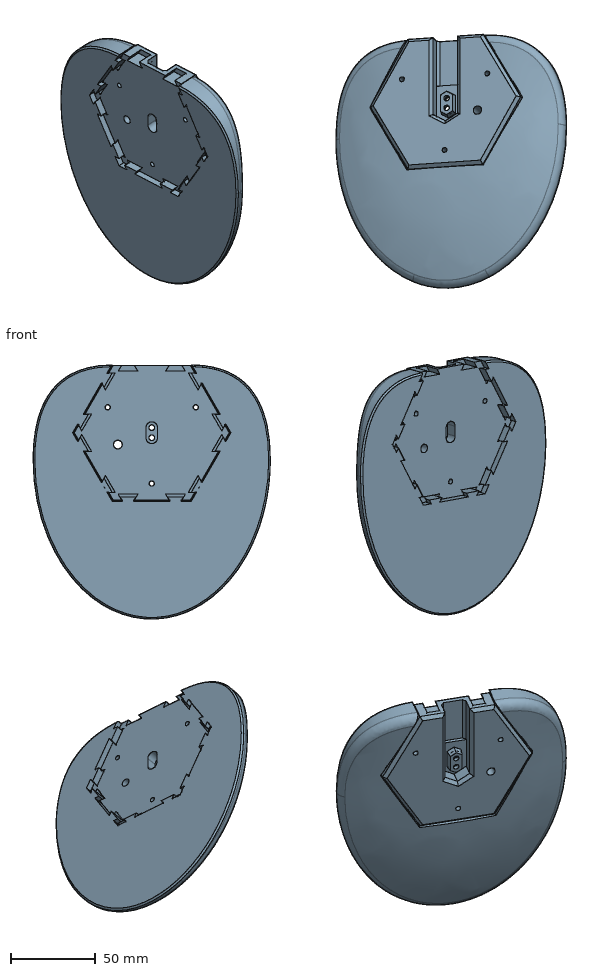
import cadquery as cq
import math


HALF_WIDTH = 70.0
OUTLINE_TOP = 40.0
OUTLINE_HEIGHT = 150.0
WIDEST_Z = -16.0
OUTLINE_BOTTOM = OUTLINE_TOP - OUTLINE_HEIGHT
TOP_FLAT_HALF = 23.0
SIDE_PULL = 31.7
TOP_PULL = 35.3

DOME_HEIGHT = 17.8
DOME_DROP = 11.5
DOME_BOTTOM_DROP = 1.8
DOME_POWER = 2.8
DOME_TOP_FADE = 0.35
DOME_MARGIN = 5.0
DOME_STEPS = 24
RIM_FILLET = 5.5
FRONT_CHAMFER = 1.0

MOUNT_APOTHEM = 39.7
MOUNT_FRONT = 3.4
MOUNT_BACK = 18.0
BACK_CHAMFER = 2.0
HALF_SIDE_ANGLE = math.radians(30)
HOLE_APOTHEM = 40.3

DOVETAIL_OFFSETS = (-14.0, 14.0)
FLANK_ANGLE = math.radians(30)
SOCKET_FLOOR = 36.3
SOCKET_FLOOR_WIDTH = 11.5
SOCKET_BACK = 13.3
TAB_TIP = 37.8
TAB_TIP_WIDTH = 9.5
TAB_BACK_GAP = 0.5
TAB_BACK = SOCKET_BACK - TAB_BACK_GAP
SIDE_ANGLES = [30, 90, 150, 210, 270, 330]
TOP_SIDE_ANGLE = 90

POINT_SLOPE = math.tan(math.radians(30))

CHANNEL_WIDTH = 15.0
CHANNEL_FLOOR = 8.4
GROOVE_FLOOR = 6.2
GROOVE_CHAMFER = 1.8
GROOVE_END_Z = 12.0

SCREW_SPACING = 6.0
SCREW_DIAMETER = 3.2
SLOT_WIDTH = 6.8
SLOT_DEPTH = 7.0
BOSS_BASE_WIDTH = 8.6
BOSS_TOP_WIDTH = 7.2
BOSS_TOP = 13.3
PILOT_DIAMETER = 2.88
PILOT_RADIUS = 30.0
PILOT_ANGLES = [30, 150, 270]
SIDE_HOLE_DIAMETER = 5.0
SIDE_HOLE_POSITION = (-20.0, -7.0)


def plane_at(y):
    """Sketch plane at depth y: local x is X, local y is Z. Negative extrusion goes to +Y."""
    return cq.Workplane("XZ", origin=(0, y, 0))


def hexagon(apothem):
    """Corners of a hexagon with flat top and bottom."""
    radius = apothem / math.cos(HALF_SIDE_ANGLE)
    corners = [2 * HALF_SIDE_ANGLE * i for i in range(6)]
    return [(radius * math.cos(a), radius * math.sin(a)) for a in corners]


def prism(points, y_front, y_back):
    return plane_at(y_front).polyline(points).close().extrude(y_front - y_back)


def dovetail(inner, outer, inner_width, y_front, y_back, side_angle, offset):
    """Dovetail on one hexagon side, wide at the inner distance and narrower at the outer one."""
    half_inner = inner_width / 2
    half_outer = half_inner - (outer - inner) * math.tan(FLANK_ANGLE)
    points = [
        (offset - half_inner, inner),
        (offset + half_inner, inner),
        (offset + half_outer, outer),
        (offset - half_outer, outer),
    ]
    body = prism(points, y_front, y_back)
    return body.rotate((0, 0, 0), (0, 1, 0), TOP_SIDE_ANGLE - side_angle)


def dome_height(x, z):
    """Height of the domed back: falls from the crown to the rim, and falls less towards the top."""
    below = max(WIDEST_Z - z, 0) / (WIDEST_Z - OUTLINE_BOTTOM)
    above = max(z - WIDEST_Z, 0) / (OUTLINE_TOP - WIDEST_Z)
    radius = math.hypot(x / HALF_WIDTH, below)
    side_drop = DOME_DROP * radius**DOME_POWER * (1 - DOME_TOP_FADE * above**2)
    return DOME_HEIGHT - side_drop - DOME_BOTTOM_DROP * below**DOME_POWER


def outline_body():
    """Egg outline: half an ellipse below the widest point, a Bezier curve on each side above it."""
    right_curve = [
        (HALF_WIDTH, WIDEST_Z),
        (HALF_WIDTH, WIDEST_Z + SIDE_PULL),
        (TOP_FLAT_HALF + TOP_PULL, OUTLINE_TOP),
        (TOP_FLAT_HALF, OUTLINE_TOP),
    ]
    left_curve = [(-x, z) for x, z in reversed(right_curve)]
    return (
        plane_at(0)
        .moveTo(-HALF_WIDTH, WIDEST_Z)
        .ellipseArc(HALF_WIDTH, WIDEST_Z - OUTLINE_BOTTOM, 180, 360)
        .bezier(right_curve)
        .lineTo(-TOP_FLAT_HALF, OUTLINE_TOP)
        .bezier(left_curve)
        .close()
        .extrude(-MOUNT_BACK)
    )


def space_behind_dome():
    """Everything behind the domed back surface, used to trim the cover."""
    x_start = -HALF_WIDTH - DOME_MARGIN
    z_start = OUTLINE_BOTTOM - DOME_MARGIN
    x_step = -2 * x_start / DOME_STEPS
    z_step = (OUTLINE_HEIGHT + 2 * DOME_MARGIN) / DOME_STEPS
    grid = []
    for i in range(DOME_STEPS + 1):
        x = x_start + i * x_step
        heights = [z_start + j * z_step for j in range(DOME_STEPS + 1)]
        grid.append([cq.Vector(x, dome_height(x, z), z) for z in heights])
    surface = cq.Face.makeSplineApprox(grid)
    return cq.Workplane(obj=cq.Solid.extrudeLinear(surface, cq.Vector(0, 2 * MOUNT_BACK, 0)))


def tab(side_angle, offset):
    return dovetail(TAB_TIP, HOLE_APOTHEM, TAB_TIP_WIDTH, 0, TAB_BACK, side_angle, offset)


def make_cover():
    body = outline_body().cut(space_behind_dome())
    body = body.faces("<Y").chamfer(FRONT_CHAMFER)
    dome = body.faces("%BSPLINE").sort(lambda face: -face.Center().y).first()
    body = dome.edges().fillet(RIM_FILLET)
    body = body.cut(prism(hexagon(HOLE_APOTHEM), 0, MOUNT_BACK))
    for side_angle in SIDE_ANGLES:
        if side_angle == TOP_SIDE_ANGLE:
            continue
        for offset in DOVETAIL_OFFSETS:
            body = body.union(tab(side_angle, offset))
    return body


def pointed_slot(half_width, top_z, bottom_z):
    """Outline with vertical sides from bottom_z to top_z and a 120 degree point beyond each end."""
    point_height = half_width * POINT_SLOPE
    return [
        (0, top_z + point_height),
        (-half_width, top_z),
        (-half_width, bottom_z),
        (0, bottom_z - point_height),
        (half_width, bottom_z),
        (half_width, top_z),
    ]


def boss_section(width, y):
    """Outline of the boss at depth y: parallel to the screw slot, with a point at each end."""
    half_width = width / 2
    corner_z = SCREW_SPACING / 2 + half_width * POINT_SLOPE
    return plane_at(y).polyline(pointed_slot(half_width, corner_z, -corner_z)).close().wires().val()


def make_boss():
    base = boss_section(BOSS_BASE_WIDTH, CHANNEL_FLOOR)
    top = boss_section(BOSS_TOP_WIDTH, BOSS_TOP)
    return cq.Workplane(obj=cq.Solid.makeLoft([base, top], True))


def channel():
    """Channel open at the top side of the mount, with a point at its lower end."""
    half_width = CHANNEL_WIDTH / 2
    corner_z = SCREW_SPACING / 2 + half_width * POINT_SLOPE
    return prism(pointed_slot(half_width, MOUNT_APOTHEM, -corner_z), CHANNEL_FLOOR, MOUNT_BACK)


def groove():
    """Deeper strip along the upper end of the channel, with bevelled lower edges."""
    length = MOUNT_APOTHEM - GROOVE_END_Z
    depth = CHANNEL_FLOOR - GROOVE_FLOOR
    bar = (
        cq.Workplane("XY")
        .box(CHANNEL_WIDTH, depth, length, centered=(True, False, False))
        .edges("|Z and <Y")
        .chamfer(GROOVE_CHAMFER)
    )
    return bar.translate((0, GROOVE_FLOOR, GROOVE_END_Z))


def socket(side_angle, offset):
    return dovetail(
        SOCKET_FLOOR, MOUNT_APOTHEM, SOCKET_FLOOR_WIDTH, MOUNT_FRONT, SOCKET_BACK, side_angle, offset
    )


def screw_slot():
    length = SCREW_SPACING + SLOT_WIDTH
    return plane_at(MOUNT_FRONT).slot2D(length, SLOT_WIDTH, 90).extrude(-SLOT_DEPTH)


def through_holes(points, diameter):
    return plane_at(0).pushPoints(points).circle(diameter / 2).extrude(-MOUNT_BACK)


def pilot_positions():
    angles = [math.radians(angle) for angle in PILOT_ANGLES]
    return [(PILOT_RADIUS * math.cos(a), PILOT_RADIUS * math.sin(a)) for a in angles]


def make_mount():
    body = prism(hexagon(MOUNT_APOTHEM), MOUNT_FRONT, MOUNT_BACK)
    body = body.cut(channel())
    body = body.faces(">Y").chamfer(BACK_CHAMFER)
    body = body.cut(groove()).union(make_boss())

    for side_angle in SIDE_ANGLES:
        for offset in DOVETAIL_OFFSETS:
            body = body.cut(socket(side_angle, offset))

    screw_positions = [(0, -SCREW_SPACING / 2), (0, SCREW_SPACING / 2)]
    body = body.cut(screw_slot())
    body = body.cut(through_holes(screw_positions, SCREW_DIAMETER))
    body = body.cut(through_holes(pilot_positions(), PILOT_DIAMETER))
    return body.cut(through_holes([SIDE_HOLE_POSITION], SIDE_HOLE_DIAMETER))


cover = make_cover()
mount = make_mount()
result = cq.Compound.makeCompound([cover.solids().val(), mount.solids().val()])